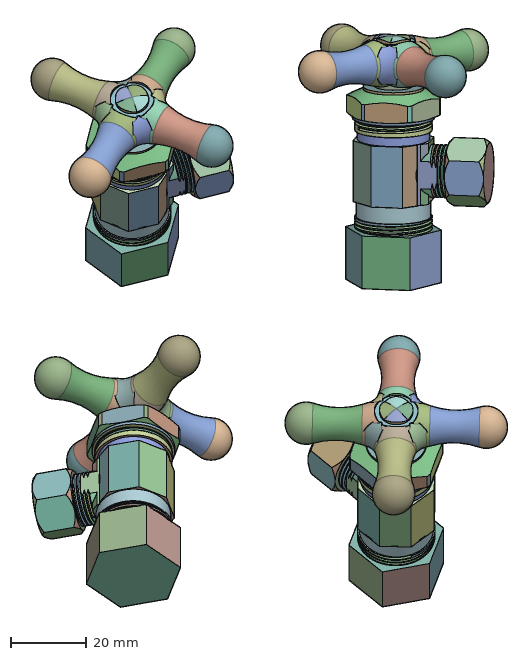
import cadquery as cq
import math


hex_flats = 22.35
inlet_height = 14.3
thread_radius = 10.3
thread_pitch = 1.05
thread_depth = 0.65
groove_half_width = 0.51
groove_overcut = 0.25
inlet_thread_top = 17.55
inlet_groove_top = 17.35
inlet_neck_radius = 9.9
barrel_bottom = 22.0
barrel_top = 38.6
barrel_flats = 20.3
bonnet_neck_radius = 9.65
collar_bottom = 41.0
bonnet_thread_start = 42.35
bonnet_bottom = 44.3
inlet_groove_angle = -110.0
bonnet_groove_angle = -55.0

outlet_z = (barrel_bottom + barrel_top) / 2
outlet_radius = 7.05
outlet_flat_x = 6.0
outlet_flat_start = 7.6
outlet_flat_end = 12.9
outlet_thread_start = 10.65
outlet_groove_angle = 90.0
outlet_nut_start = 15.1
outlet_nut_end = 25.7
outlet_nut_flats = 16.1
outlet_nut_chamfer = 1.25

bonnet_corner_radius = 12.6
bonnet_foot_radius = 10.9
bonnet_foot_top_radius = 11.05
bonnet_foot_top = 45.1
bonnet_corner_bottom = 45.55
bonnet_corner_top = 49.95
bonnet_cone_top = 52.15
bonnet_rim_radius = 8.05
bonnet_top = 52.8
stem_radius = 4.9
stem_top = 54.5

arm_count = 4
arm_spacing = 360 / arm_count
handle_top = 66.5
ball_distance = 23.9
ball_radius = 5.65
ball_join = 22.15
neck_join = 9.0
button_radius = 4.45
button_groove_radius = 5.8
button_groove_floor = 65.1

join_tilt = math.asin((ball_distance - ball_join) / ball_radius)
join_radius = ball_radius * math.cos(join_tilt)
neck_arc_radius = (ball_join - neck_join) / 2 / math.sin(join_tilt)
waist_radius = join_radius - neck_arc_radius * (1 - math.cos(join_tilt))
root_arc_radius = neck_join / math.sin(join_tilt)
hub_radius = join_radius + root_arc_radius * (1 - math.cos(join_tilt))
handle_z = handle_top - hub_radius

web_arc_radius = 6.65
web_ring_radius = 12.2
web_ring_x = 4.0
web_half_angle = 16.0
web_reach = 11.3

clearance = 0.65


def cylinder(radius, bottom, top):
    return cq.Workplane("XY").workplane(offset=bottom).circle(radius).extrude(top - bottom)


def prism(sides, flats, bottom, top):
    """A regular prism about Z, with an even number of sides and flats facing +X and -X."""
    across_corners = flats / math.cos(math.pi / sides)
    blank = cq.Workplane("XY").workplane(offset=bottom).polygon(sides, across_corners).extrude(top - bottom)
    return blank.rotate((0, 0, 0), (0, 0, 1), 180 / sides)


def thread_groove(radius, start_z, end_z, start_angle):
    """A right-hand V-shaped helical groove about Z, rising from start_z to end_z."""
    root = radius - thread_depth
    rim = radius + groove_overcut
    path = cq.Wire.makeHelix(thread_pitch, end_z - start_z, root)
    profile = (
        cq.Workplane("XZ")
        .moveTo(root, 0)
        .lineTo(rim, groove_half_width)
        .lineTo(rim, -groove_half_width)
        .close()
    )
    groove = profile.sweep(cq.Workplane(obj=path), isFrenet=True)
    return groove.rotate((0, 0, 0), (0, 0, 1), start_angle).translate((0, 0, start_z))


def make_inlet():
    """Threaded inlet neck screwed into its plain hexagon."""
    hidden_start = inlet_height - clearance
    groove_turn = 360 * (inlet_groove_top - hidden_start) / thread_pitch
    neck = cylinder(thread_radius, hidden_start, inlet_thread_top)
    neck = neck.union(cylinder(inlet_neck_radius, hidden_start, barrel_bottom))
    start_angle = inlet_groove_angle - groove_turn
    neck = neck.cut(thread_groove(thread_radius, hidden_start, inlet_groove_top, start_angle))
    return neck.union(prism(6, hex_flats, 0, inlet_height))


def make_bonnet_end():
    """Relief neck and threaded collar that carry the bonnet."""
    collar = cylinder(thread_radius, collar_bottom, bonnet_bottom).rotate((0, 0, 0), (0, 0, 1), 180)
    groove_end = bonnet_bottom + clearance
    collar = collar.cut(thread_groove(thread_radius, bonnet_thread_start, groove_end, bonnet_groove_angle))
    return collar.union(cylinder(bonnet_neck_radius, barrel_top, collar_bottom))


def make_outlet_nut():
    """Hexagonal nut about Z, chamfered at both ends."""
    corner_radius = outlet_nut_flats / 2 / math.cos(math.pi / 6)
    blank = cylinder(corner_radius, outlet_nut_start, outlet_nut_end)
    blank = blank.faces("<Z or >Z").chamfer(outlet_nut_chamfer)
    return prism(6, outlet_nut_flats, outlet_nut_start, outlet_nut_end).intersect(blank)


def along_outlet(shape):
    """Turns a shape built along +Z so that it lies along the outlet axis."""
    return shape.rotate((0, 0, 0), (1, 0, 0), -90).translate((0, 0, outlet_z))


def make_valve_body():
    spout = cylinder(outlet_radius, 0, outlet_nut_start).rotate((0, 0, 0), (0, 0, 1), 90)
    groove_end = outlet_nut_start + clearance
    spout = spout.cut(thread_groove(outlet_radius, outlet_thread_start, groove_end, outlet_groove_angle))
    barrel = prism(8, barrel_flats, barrel_bottom, barrel_top)
    body = barrel.union(along_outlet(spout))

    flat_length = outlet_flat_end - outlet_flat_start
    for side in (-1, 1):
        slab = cq.Workplane("XY").box(barrel_flats, flat_length, barrel_flats)
        slab_x = side * (outlet_flat_x + barrel_flats / 2)
        body = body.cut(slab.translate((slab_x, outlet_flat_start + flat_length / 2, outlet_z)))

    body = body.union(along_outlet(make_outlet_nut()))
    return body.union(make_inlet()).union(make_bonnet_end())


def make_bonnet():
    blank = (
        cq.Workplane("XZ")
        .moveTo(0, bonnet_bottom)
        .lineTo(bonnet_foot_radius, bonnet_bottom)
        .lineTo(bonnet_foot_top_radius, bonnet_foot_top)
        .lineTo(bonnet_corner_radius, bonnet_corner_bottom)
        .lineTo(bonnet_corner_radius, bonnet_corner_top)
        .lineTo(bonnet_rim_radius, bonnet_cone_top)
        .lineTo(bonnet_rim_radius, bonnet_top)
        .lineTo(0, bonnet_top)
        .close()
        .revolve(360, (0, 0, 0), (0, 1, 0))
    )
    bonnet = blank.intersect(prism(6, hex_flats, bonnet_bottom, bonnet_top))
    return bonnet.union(cylinder(stem_radius, bonnet_top, stem_top))


def make_arm():
    """An arm along +X: a barrel-shaped root, a waisted neck and a ball, tangent to each other."""
    root_middle = (
        root_arc_radius * math.sin(join_tilt / 2),
        hub_radius - root_arc_radius * (1 - math.cos(join_tilt / 2)),
    )
    waist = ((neck_join + ball_join) / 2, waist_radius)
    return (
        cq.Workplane("XZ")
        .lineTo(0, hub_radius)
        .threePointArc(root_middle, (neck_join, join_radius))
        .threePointArc(waist, (ball_join, join_radius))
        .threePointArc((ball_distance, ball_radius), (ball_distance + ball_radius, 0))
        .close()
        .revolve(360, (0, 0, 0), (1, 0, 0))
    )


def make_web():
    """Concave fill towards +X between two arms, shaped by the inside of a ring about the Y direction."""
    half_width = web_reach * math.tan(math.radians(web_half_angle))
    wedge = (
        cq.Workplane("XY")
        .workplane(offset=-hub_radius)
        .polyline([(0, 0), (web_reach, -half_width), (web_reach, half_width)])
        .close()
        .extrude(2 * hub_radius)
    )
    ring_disc = cq.Workplane("XZ").center(web_ring_x, 0).circle(web_ring_radius).extrude(web_reach, both=True)
    ring = cq.Solid.makeTorus(
        web_ring_radius, web_arc_radius, cq.Vector(web_ring_x, 0, 0), cq.Vector(0, 1, 0)
    )
    return wedge.intersect(ring_disc).cut(cq.Workplane(obj=ring))


def make_handle():
    handle = make_arm()
    for index in range(1, arm_count):
        handle = handle.union(make_arm().rotate((0, 0, 0), (0, 0, 1), index * arm_spacing))
    web = make_web().rotate((0, 0, 0), (0, 0, 1), arm_spacing / 2)
    for index in range(arm_count):
        handle = handle.union(web.rotate((0, 0, 0), (0, 0, 1), index * arm_spacing))
    handle = handle.rotate((0, 0, 0), (0, 0, 1), arm_spacing / 2).translate((0, 0, handle_z))

    groove_top = handle_top + clearance
    groove = cylinder(button_groove_radius, button_groove_floor, groove_top)
    groove = groove.cut(cylinder(button_radius, button_groove_floor, groove_top))
    return handle.cut(groove).cut(cylinder(stem_radius, bonnet_top, stem_top))


valve_body = make_valve_body()
bonnet = make_bonnet()
handle = make_handle()

result = cq.Compound.makeCompound([valve_body.val(), bonnet.val(), handle.val()])